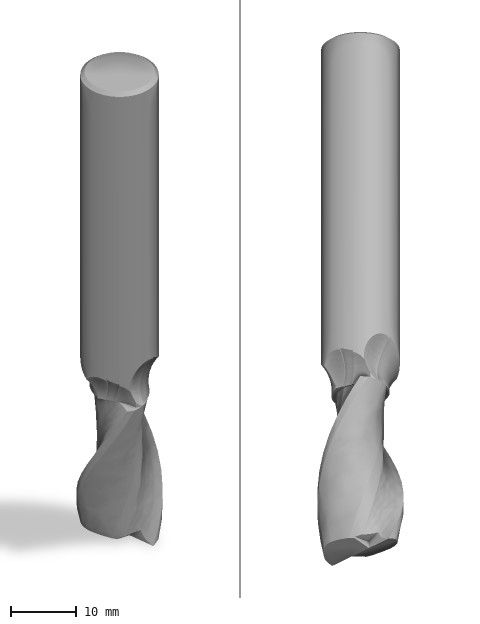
import cadquery as cq
import math

overall_length = 85.0
shank_radius = 5.99
top_chamfer_width = 0.7
top_chamfer_height = 0.5

cutter_radius = 6.59
cutter_length = 26.5
helix_lead = 68.85
margin_angle = 11.0
end_relief_angle = 15.5
gash_start = 1.95
gash_height = 1.0
gash_rise = 4.4

back_shoulder = (-5.35, -2.6)
back_crest = (-3.6, -3.7)
back_middle = (-1.3, -3.9)
heel = (0.9, -3.5)
flute_corner = (2.55, -2.5)
flute_root = (3.65, -1.0)
rake_start = (5.3, -0.25)

back_groove = {"radius": 5.95, "depth": 4.4, "start": 173.0, "span": 88.0, "tilt": -20.0, "height": 27.9}
flute_groove = {"radius": 5.95, "depth": 3.7, "start": 278.0, "span": 22.0, "tilt": -12.0, "height": 27.0}
ball_clearance = 0.2


def margin_point(angle):
    """Point on the cutting circle, past the cutting edge by an angle in degrees."""
    turn = math.radians(180 + angle)
    return (cutter_radius * math.cos(turn), cutter_radius * math.sin(turn))


def opposite(point):
    """The same point on the other blade, half a turn away."""
    return (-point[0], -point[1])


def same(point):
    return point


def blade_section():
    """Two-blade cross-section: margin, curved back, heel and hollow flute, twice."""
    section = cq.Workplane("XY").moveTo(-cutter_radius, 0)
    for place in (same, opposite):
        section = (
            section.threePointArc(place(margin_point(margin_angle / 2)), place(margin_point(margin_angle)))
            .spline([place(p) for p in (back_shoulder, back_crest, back_middle, heel)], includeCurrent=True)
            .lineTo(*place(flute_corner))
            .threePointArc(place(flute_root), place(rake_start))
            .lineTo(*place((cutter_radius, 0)))
        )
    return section.close()


def end_relief():
    """Roof-shaped envelope: the end rises away from the cutting edges along X."""
    half_width = 2 * cutter_radius
    rise = half_width * math.tan(math.radians(end_relief_angle))
    outline = [(0, 0), (half_width, rise), (half_width, cutter_length),
               (-half_width, cutter_length), (-half_width, rise)]
    return cq.Workplane("YZ").polyline(outline).close().extrude(half_width, both=True)


def gash(turn):
    """Notch at the end that makes a flat face ahead of one cutting edge."""
    reach = 2 * cutter_radius
    outline = [(gash_start, 0), (reach, 0), (reach, gash_height + gash_rise), (gash_start, gash_height)]
    notch = cq.Workplane("XZ").polyline(outline).close().extrude(cutter_radius)
    return notch.rotate((0, 0, 0), (0, 0, 1), turn)


def make_cutter():
    twist = 360 * cutter_length / helix_lead
    body = blade_section().twistExtrude(cutter_length, twist).intersect(end_relief())
    for turn in (0, 180):
        body = body.cut(gash(turn))
    return body


def runout_groove(radius, depth, start, span, tilt, height, turn):
    """Part of a round ring with ball ends that hollows the shank over a span of angles, tilted along the helix."""
    ring_radius = depth + radius
    groove = (
        cq.Workplane("XZ")
        .center(ring_radius, 0)
        .circle(radius)
        .revolve(span, (-ring_radius, 0), (-ring_radius, 1))
        .rotate((0, 0, 0), (0, 0, 1), -span / 2)
    )
    for end in (-span / 2, span / 2):
        ball = cq.Workplane("XY").sphere(radius - ball_clearance).translate((ring_radius, 0, 0))
        groove = groove.union(ball.rotate((0, 0, 0), (0, 0, 1), end))
    return (
        groove.rotate((0, 0, 0), (1, 0, 0), tilt)
        .translate((0, 0, height))
        .rotate((0, 0, 0), (0, 0, 1), start + span / 2 + turn)
    )


def make_shank():
    outline = [(0, cutter_length), (shank_radius, cutter_length),
               (shank_radius, overall_length - top_chamfer_height),
               (shank_radius - top_chamfer_width, overall_length), (0, overall_length)]
    body = cq.Workplane("XZ").polyline(outline).close().revolve()
    for turn in (0, 180):
        for groove in (back_groove, flute_groove):
            body = body.cut(runout_groove(turn=turn, **groove))
    return body


cutter = make_cutter()
shank = make_shank()

result = cq.Compound.makeCompound([cutter.val(), shank.val()])